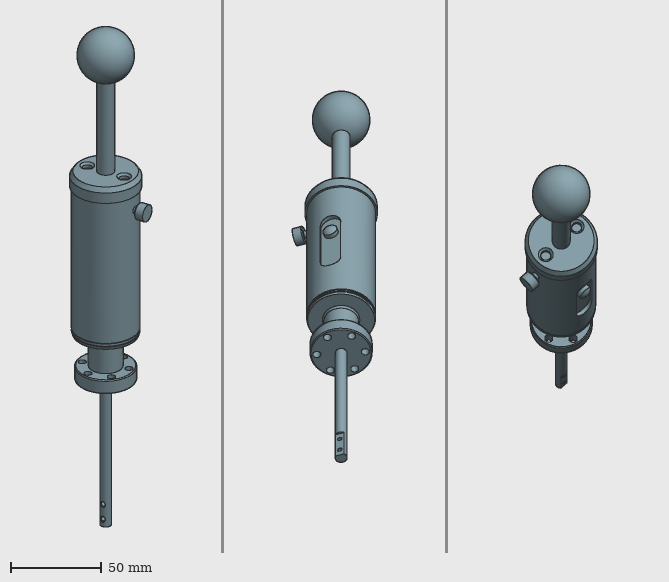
import cadquery as cq

total_height = 313.7

ball_radius = 16.0
handle_rod_radius = 5.0

cap_radius = 20.0
cap_bottom = 215.0
cap_top = 224.3
cap_edge_width = 2.0
cap_edge_height = 2.8

spanner_hole_radius = 2.8
spanner_countersink_radius = 4.0
spanner_hole_offset = 12.0
spanner_hole_depth = 3.0

body_radius = 19.0
body_bottom = 121.5
body_taper = 0.5
groove_bottom = 123.3
groove_height = 2.0
groove_depth = 0.5

neck_radius = 9.7
neck_collar_radius = 10.5
neck_collar_height = 1.5

flange_radius = 17.3
flange_bottom = 92.2
flange_top = 101.0
flange_chamfer = 0.5
bolt_count = 6
bolt_first_angle = 15
bolt_circle_radius = 13.5
bolt_hole_radius = 2.2

drive_rod_diameter = 6.5
drive_rod_radius = drive_rod_diameter / 2
flat_length = 18.8
flat_y = 2.2
cross_hole_radius = 1.3
cross_countersink_radius = 2.0
cross_hole_heights = (4.7, 14.0)

thumb_screw_z = 205.2
thumb_head_radius = 5.0
thumb_head_start = 21.3
thumb_head_end = 27.0
thumb_head_chamfer = 0.5
thumb_shank_radius = 2.2

slot_width = 12.0
slot_bottom = 147.5
slot_top = 190.7
slot_depth = 2.5
stop_screw_z = 178.2
stop_screw_radius = 4.0
stop_screw_rim = 19.0
stop_screw_tip = 21.0


def cylinder(radius, bottom, top):
    """Round bar on the Z axis between two heights."""
    return cq.Workplane("XY").workplane(offset=bottom).circle(radius).extrude(top - bottom)


def handle():
    ball_center = total_height - ball_radius
    ball = cq.Workplane("XY").sphere(ball_radius).translate((0, 0, ball_center))
    return cylinder(handle_rod_radius, cap_top, ball_center).union(ball)


def housing():
    """Turned profile of the cap, body and neck, revolved about Z."""
    groove_radius = body_radius - groove_depth
    groove_top = groove_bottom + groove_height
    profile = (
        cq.Workplane("XZ")
        .moveTo(0, cap_top)
        .lineTo(cap_radius - cap_edge_width, cap_top)
        .lineTo(cap_radius, cap_top - cap_edge_height)
        .lineTo(cap_radius, cap_bottom)
        .lineTo(body_radius, cap_bottom)
        .lineTo(body_radius, groove_top)
        .lineTo(groove_radius, groove_top)
        .lineTo(groove_radius, groove_bottom)
        .lineTo(body_radius, groove_bottom)
        .lineTo(body_radius - body_taper, body_bottom)
        .lineTo(neck_collar_radius, body_bottom)
        .lineTo(neck_radius, body_bottom - neck_collar_height)
        .lineTo(neck_radius, flange_top)
        .lineTo(0, flange_top)
        .close()
    )
    return profile.revolve(360, (0, 0, 0), (0, 1, 0))


def countersunk_hole(radius, rim_radius, depth):
    """Cutter whose rim lies at the origin and whose axis runs down -Z, with a 45 degree countersink."""
    return (
        cq.Workplane("XZ")
        .lineTo(rim_radius, 0)
        .lineTo(radius, radius - rim_radius)
        .lineTo(radius, -depth)
        .lineTo(0, -depth)
        .close()
        .revolve(360, (0, 0, 0), (0, 1, 0))
    )


def spanner_holes():
    hole = countersunk_hole(spanner_hole_radius, spanner_countersink_radius, spanner_hole_depth)
    left_hole = hole.translate((-spanner_hole_offset, 0, cap_top))
    right_hole = hole.translate((spanner_hole_offset, 0, cap_top))
    return left_hole.union(right_hole)


def guide_slot():
    """Vertical round-ended slot in the housing wall."""
    return (
        cq.Workplane("XZ", origin=(0, body_radius, (slot_bottom + slot_top) / 2))
        .slot2D(slot_top - slot_bottom, slot_width, 90)
        .extrude(slot_depth)
    )


def stop_screw():
    """Dome-headed screw standing on the floor of the guide slot."""
    seat = body_radius - slot_depth
    dome_height = stop_screw_tip - stop_screw_rim
    dome_radius = (stop_screw_radius**2 + dome_height**2) / (2 * dome_height)
    shank = (
        cq.Workplane("XZ", origin=(0, seat, stop_screw_z))
        .circle(stop_screw_radius)
        .extrude(seat - stop_screw_tip)
    )
    dome = cq.Workplane("XY").sphere(dome_radius).translate((0, stop_screw_tip - dome_radius, stop_screw_z))
    return shank.intersect(dome)


def flange():
    plate = cylinder(flange_radius, flange_bottom, flange_top).edges().chamfer(flange_chamfer)
    bolt_holes = (
        cq.Workplane("XY")
        .workplane(offset=flange_bottom)
        .polarArray(bolt_circle_radius, bolt_first_angle, 360, bolt_count)
        .circle(bolt_hole_radius)
        .extrude(flange_top - flange_bottom)
    )
    return plate.cut(bolt_holes)


def drive_rod():
    rod = cylinder(drive_rod_radius, 0, flange_bottom)
    flat = (
        cq.Workplane("XY")
        .box(drive_rod_diameter, drive_rod_radius, flat_length, centered=(True, False, False))
        .translate((0, flat_y, 0))
    )
    rod = rod.cut(flat)
    hole = (
        countersunk_hole(cross_hole_radius, cross_countersink_radius, drive_rod_diameter)
        .rotate((0, 0, 0), (1, 0, 0), 90)
        .translate((0, -drive_rod_radius, 0))
    )
    for height in cross_hole_heights:
        rod = rod.cut(hole.translate((0, 0, height)))
    return rod


def thumb_screw():
    shank_start = body_radius / 2
    axis_start = cq.Workplane("YZ", origin=(shank_start, 0, thumb_screw_z))
    shank = axis_start.circle(thumb_shank_radius).extrude(thumb_head_start - shank_start)
    head = (
        cq.Workplane("YZ", origin=(thumb_head_start, 0, thumb_screw_z))
        .circle(thumb_head_radius)
        .extrude(thumb_head_end - thumb_head_start)
        .edges("<X")
        .chamfer(thumb_head_chamfer)
    )
    return shank.union(head)


result = (
    housing()
    .cut(spanner_holes())
    .cut(guide_slot())
    .union(stop_screw())
    .union(thumb_screw())
    .union(handle())
    .union(flange())
    .union(drive_rod())
)